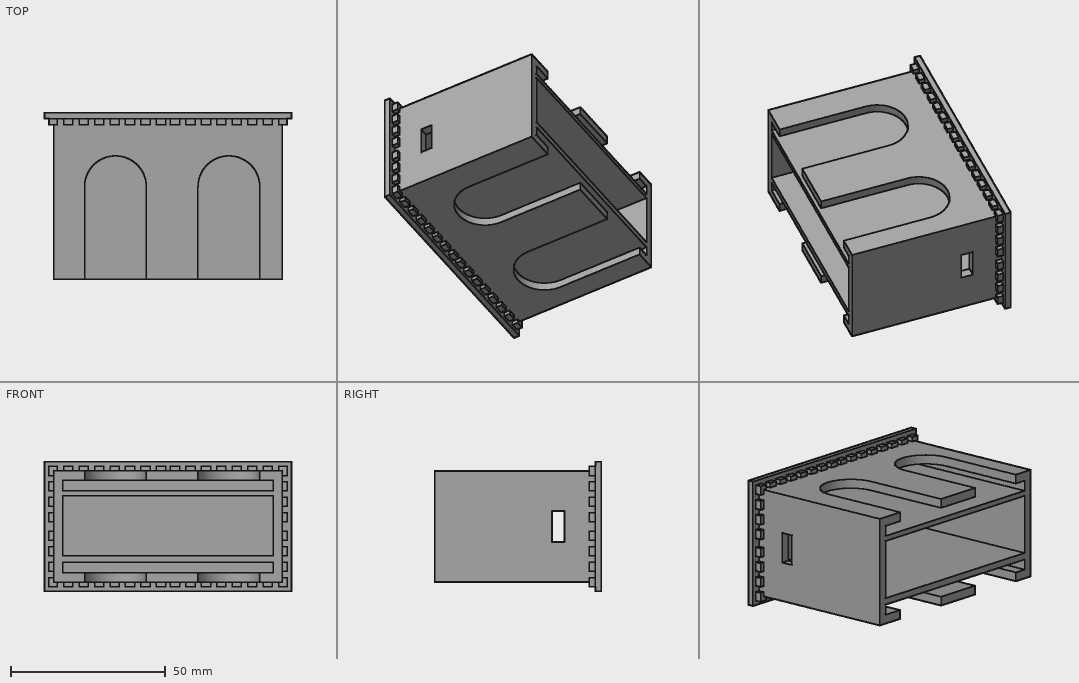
import cadquery as cq


flange_width = 80.0
flange_height = 42.0
flange_thickness = 2.0

total_depth = 54.0
flange_overhang = 3.0
wall = 3.0
body_width = flange_width - 2 * flange_overhang
body_height = flange_height - 2 * flange_overhang
inner_width = body_width - 2 * wall
inner_top = body_height / 2 - wall

slot_height = 3.4
upper_shelf = 1.7
lower_shelf = 2.2
middle_top = inner_top - slot_height - upper_shelf
middle_bottom = -inner_top + slot_height + lower_shelf

arch_width = 20.0
arch_crown_to_back = 14.0
arch_spacing = 36.7
arch_side_margin = 10.0
first_arch_x = -body_width / 2 + arch_side_margin + arch_width / 2
arch_centers_x = [first_arch_x, first_arch_x + arch_spacing]

window_depth = 4.0
window_height = 10.0
window_to_back = 12.0

dentil_length = 3.0
dentil_pitch = 5.0
dentil_depth = 2.0
dentil_rise = 1.5
dentil_first_x = 0.75
dentil_first_z = 1.5
dentils_per_half_width = 8
dentils_per_half_height = 4
dentil_ring_width = body_width + 2 * dentil_rise
dentil_ring_height = body_height + 2 * dentil_rise


def block(x_range, y_range, z_range):
    """Box spanning the given (low, high) ranges."""
    (x0, x1), (y0, y1), (z0, z1) = x_range, y_range, z_range
    return cq.Workplane("XY").box(x1 - x0, y1 - y0, z1 - z0, centered=False).translate((x0, y0, z0))


def centered(size):
    """Range of the given size, centred on zero."""
    return (-size / 2, size / 2)


def make_shell():
    """Flange with the solid box body in front of it."""
    flange = block(centered(flange_width), (-flange_thickness, 0), centered(flange_height))
    body = block(centered(body_width), (-total_depth, -flange_thickness), centered(body_height))
    return flange.union(body)


def dentil_spans(first_start, count):
    """Ranges of evenly pitched dentils, mirrored about the middle of a side."""
    spans = []
    for i in range(count):
        start = first_start + i * dentil_pitch
        end = start + dentil_length
        spans.append((start, end))
        spans.append((-end, -start))
    return spans


def make_dentils():
    """Rows of blocks on all four sides, trimmed to a ring that hugs the body."""
    depth_range = (-flange_thickness - dentil_depth, -flange_thickness)
    half_width = dentil_ring_width / 2
    half_height = dentil_ring_height / 2
    dentils = cq.Workplane("XY")
    for x_range in dentil_spans(dentil_first_x, dentils_per_half_width):
        dentils = dentils.add(block(x_range, depth_range, (body_height / 2, half_height)))
        dentils = dentils.add(block(x_range, depth_range, (-half_height, -body_height / 2)))
    for z_range in dentil_spans(dentil_first_z, dentils_per_half_height):
        dentils = dentils.add(block((body_width / 2, half_width), depth_range, z_range))
        dentils = dentils.add(block((-half_width, -body_width / 2), depth_range, z_range))
    ring = block(centered(dentil_ring_width), depth_range, centered(dentil_ring_height))
    return ring.intersect(dentils.combine())


def make_compartments():
    """Three cavities running from the mouth back to the flange."""
    depth_range = (-total_depth, -flange_thickness)
    levels = [
        (inner_top - slot_height, inner_top),
        (middle_bottom, middle_top),
        (-inner_top, -inner_top + slot_height),
    ]
    cavities = cq.Workplane("XY")
    for z_range in levels:
        cavities = cavities.add(block(centered(inner_width), depth_range, z_range))
    return cavities


def make_arch(center_x, bottom_z):
    """Round-headed opening through one wall, open at the mouth."""
    radius = arch_width / 2
    crown_y = -arch_crown_to_back
    spring_y = crown_y - radius
    return (
        cq.Workplane("XY", origin=(center_x, 0, bottom_z))
        .moveTo(-radius, -total_depth)
        .lineTo(-radius, spring_y)
        .threePointArc((0, crown_y), (radius, spring_y))
        .lineTo(radius, -total_depth)
        .close()
        .extrude(wall)
    )


def make_windows():
    """One cutter passing through both side walls."""
    depth_range = (-window_to_back - window_depth, -window_to_back)
    return block(centered(body_width), depth_range, centered(window_height))


result = make_shell().union(make_dentils())
for cavity in make_compartments().vals():
    result = result.cut(cq.Workplane(cavity))
for arch_x in arch_centers_x:
    result = result.cut(make_arch(arch_x, inner_top))
    result = result.cut(make_arch(arch_x, -body_height / 2))
result = result.cut(make_windows())